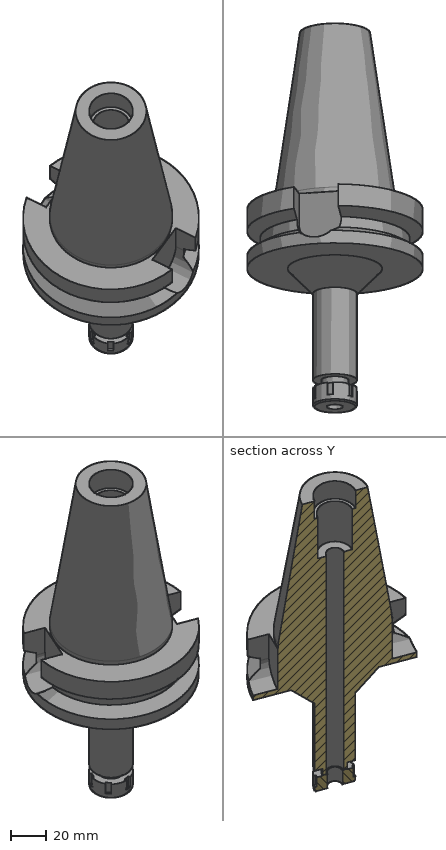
import cadquery as cq
import math

TOTAL_HEIGHT = 221.8
NUT_HEIGHT = 10.9
SHANK_BOTTOM = 15.7
CONE_BOTTOM = 67.2
FLANGE_BOTTOM = 82.0
FLANGE_TOP = 117.0
GAUGE_HEIGHT = 120.0

NECK_RADIUS = 7.8
SHANK_DIAMETER = 25.0
SHANK_RADIUS = SHANK_DIAMETER / 2
CONE_RADIUS = 26.8
FLANGE_DIAMETER = 100.0
FLANGE_RADIUS = FLANGE_DIAMETER / 2
GAUGE_DIAMETER = 69.9
GAUGE_RADIUS = GAUGE_DIAMETER / 2
TAPER_RATIO = 7 / 24
TAPER_TOP_RADIUS = GAUGE_RADIUS - (TOTAL_HEIGHT - GAUGE_HEIGHT) * TAPER_RATIO / 2

GROOVE_CENTER = 97.0
GROOVE_RADIUS = 42.5
GROOVE_FLOOR_HEIGHT = 6.2
GROOVE_FLANK_ANGLE = 30.0
GROOVE_HALF_FLOOR = GROOVE_FLOOR_HEIGHT / 2
GROOVE_FLANK_RISE = (FLANGE_RADIUS - GROOVE_RADIUS) * math.tan(math.radians(GROOVE_FLANK_ANGLE))
GROOVE_HALF_MOUTH = GROOVE_HALF_FLOOR + GROOVE_FLANK_RISE

DRIVE_SLOT_WIDTH = 25.7
DRIVE_SLOT_BOTTOM = 86.0
DRIVE_SLOT_FLOOR_X = 35.3

COUNTERBORE_RADIUS = 12.5
COUNTERBORE_DEPTH = 13.5
THREAD_BORE_RADIUS = 10.5
THREAD_BORE_DEPTH = 44.4
THROUGH_BORE_DIAMETER = 10.5
THROUGH_BORE_RADIUS = THROUGH_BORE_DIAMETER / 2

NUT_RADIUS = SHANK_RADIUS
NUT_BORE_DIAMETER = 9.0
NUT_BORE_RADIUS = NUT_BORE_DIAMETER / 2
NUT_CHAMFER = 0.9
WRENCH_SLOT_COUNT = 6
WRENCH_SLOT_WIDTH = 3.3
WRENCH_SLOT_DEPTH = 1.3
WRENCH_SLOT_BOTTOM = 3.8


def turned_holder():
    """Neck, shank, cone, grooved flange and steep taper, turned about Z."""
    profile = [
        (0, NUT_HEIGHT),
        (NECK_RADIUS, NUT_HEIGHT),
        (NECK_RADIUS, SHANK_BOTTOM),
        (SHANK_RADIUS, SHANK_BOTTOM),
        (SHANK_RADIUS, CONE_BOTTOM),
        (CONE_RADIUS, FLANGE_BOTTOM),
        (FLANGE_RADIUS, FLANGE_BOTTOM),
        (FLANGE_RADIUS, GROOVE_CENTER - GROOVE_HALF_MOUTH),
        (GROOVE_RADIUS, GROOVE_CENTER - GROOVE_HALF_FLOOR),
        (GROOVE_RADIUS, GROOVE_CENTER + GROOVE_HALF_FLOOR),
        (FLANGE_RADIUS, GROOVE_CENTER + GROOVE_HALF_MOUTH),
        (FLANGE_RADIUS, FLANGE_TOP),
        (GAUGE_RADIUS, FLANGE_TOP),
        (GAUGE_RADIUS, GAUGE_HEIGHT),
        (TAPER_TOP_RADIUS, TOTAL_HEIGHT),
        (0, TOTAL_HEIGHT),
    ]
    return cq.Workplane("XZ").polyline(profile).close().revolve(360, (0, 0), (0, 1))


def stepped_bore():
    """Cutter for the counterbore, thread bore and through bore."""
    counterbore_floor = TOTAL_HEIGHT - COUNTERBORE_DEPTH
    thread_floor = TOTAL_HEIGHT - THREAD_BORE_DEPTH
    profile = [
        (0, NUT_HEIGHT),
        (THROUGH_BORE_RADIUS, NUT_HEIGHT),
        (THROUGH_BORE_RADIUS, thread_floor),
        (THREAD_BORE_RADIUS, thread_floor),
        (THREAD_BORE_RADIUS, counterbore_floor),
        (COUNTERBORE_RADIUS, counterbore_floor),
        (COUNTERBORE_RADIUS, TOTAL_HEIGHT),
        (0, TOTAL_HEIGHT),
    ]
    return cq.Workplane("XZ").polyline(profile).close().revolve(360, (0, 0), (0, 1))


def drive_slot():
    """Cutter for the drive slot on the +X side of the flange."""
    half_width = DRIVE_SLOT_WIDTH / 2
    arc_center = DRIVE_SLOT_BOTTOM + half_width
    return (
        cq.Workplane("YZ", origin=(DRIVE_SLOT_FLOOR_X, 0, 0))
        .moveTo(-half_width, FLANGE_TOP)
        .lineTo(-half_width, arc_center)
        .threePointArc((0, DRIVE_SLOT_BOTTOM), (half_width, arc_center))
        .lineTo(half_width, FLANGE_TOP)
        .close()
        .extrude(FLANGE_RADIUS - DRIVE_SLOT_FLOOR_X)
    )


def make_holder():
    holder = turned_holder().cut(stepped_bore())
    for angle in (0, 180):
        holder = holder.cut(drive_slot().rotate((0, 0, 0), (0, 0, 1), angle))
    return holder


def wrench_slot():
    """Cutter for one wrench slot, open at the top and outside of the nut."""
    return cq.Workplane("XY").box(
        WRENCH_SLOT_DEPTH,
        WRENCH_SLOT_WIDTH,
        NUT_HEIGHT - WRENCH_SLOT_BOTTOM,
        centered=(False, True, False),
    ).translate((NUT_RADIUS - WRENCH_SLOT_DEPTH, 0, WRENCH_SLOT_BOTTOM))


def make_nut():
    """Clamping nut that seats against the end face of the holder neck."""
    nut = cq.Workplane("XY").circle(NUT_RADIUS).extrude(NUT_HEIGHT)
    nut = nut.faces("<Z").edges().chamfer(NUT_CHAMFER)
    nut = nut.cut(cq.Workplane("XY").circle(NUT_BORE_RADIUS).extrude(NUT_HEIGHT))
    for index in range(WRENCH_SLOT_COUNT):
        angle = index * 360 / WRENCH_SLOT_COUNT
        nut = nut.cut(wrench_slot().rotate((0, 0, 0), (0, 0, 1), angle))
    return nut


holder = make_holder()
nut = make_nut()

result = cq.Compound.makeCompound([holder.val(), nut.val()])